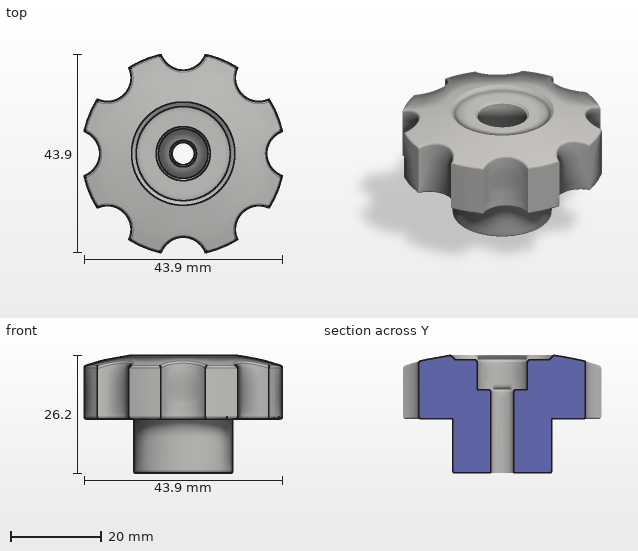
import cadquery as cq
import math

HUB_DIAMETER = 22.0
HUB_HEIGHT = 12.0
HEAD_DIAMETER = 45.0
DOME_APEX_HEIGHT = 27.0
DOME_RADIUS = 80.0

SCALLOP_COUNT = 8
SCALLOP_RADIUS = 5.25
SCALLOP_DEPTH = 4.0

RECESS_RIM_DIAMETER = 22.9
RECESS_FLOOR_DIAMETER = 20.85
RECESS_DEPTH = 1.0

BORE_DIAMETER = 11.0
BORE_DEPTH = 6.6
HOLE_DIAMETER = 4.92
BORE_CHAMFER = 0.5

HEAD_EDGE_RADIUS = 0.5
HUB_EDGE_RADIUS = 0.5

head_radius = HEAD_DIAMETER / 2
dome_center_height = DOME_APEX_HEIGHT - DOME_RADIUS
scallop_center_radius = head_radius - SCALLOP_DEPTH + SCALLOP_RADIUS


def dome_height(radius):
    """Height of the spherical dome at a distance from the axis."""
    return dome_center_height + math.sqrt(DOME_RADIUS**2 - radius**2)


recess_rim_height = dome_height(RECESS_RIM_DIAMETER / 2)
recess_floor_height = recess_rim_height - RECESS_DEPTH
bore_floor_height = recess_floor_height - BORE_DEPTH


def make_head():
    """Domed disc with finger scallops and rounded outer edges."""
    disc = (
        cq.Workplane("XZ")
        .moveTo(0, HUB_HEIGHT)
        .lineTo(head_radius, HUB_HEIGHT)
        .lineTo(head_radius, dome_height(head_radius))
        .threePointArc(
            (head_radius / 2, dome_height(head_radius / 2)),
            (0, DOME_APEX_HEIGHT),
        )
        .close()
        .revolve(360, (0, 0, 0), (0, 1, 0))
    )
    scallops = (
        cq.Workplane("XY", origin=(0, 0, HUB_HEIGHT))
        .polarArray(scallop_center_radius, 0, 360, SCALLOP_COUNT)
        .circle(SCALLOP_RADIUS)
        .extrude(DOME_APEX_HEIGHT - HUB_HEIGHT)
    )
    head = disc.cut(scallops)
    return head.faces("%CYLINDER").edges("not |Z").fillet(HEAD_EDGE_RADIUS)


def make_hub():
    """Cylindrical hub below the head, rounded at its lower edge."""
    hub = cq.Workplane("XY").circle(HUB_DIAMETER / 2).extrude(HUB_HEIGHT)
    return hub.faces("<Z").edges().fillet(HUB_EDGE_RADIUS)


def make_recess():
    """Flared recess that opens at the top of the dome."""
    flare = (RECESS_RIM_DIAMETER - RECESS_FLOOR_DIAMETER) / 2 / RECESS_DEPTH
    top_radius = RECESS_FLOOR_DIAMETER / 2 + flare * (DOME_APEX_HEIGHT - recess_floor_height)
    return (
        cq.Workplane("XZ")
        .moveTo(0, recess_floor_height)
        .lineTo(RECESS_FLOOR_DIAMETER / 2, recess_floor_height)
        .lineTo(top_radius, DOME_APEX_HEIGHT)
        .lineTo(0, DOME_APEX_HEIGHT)
        .close()
        .revolve(360, (0, 0, 0), (0, 1, 0))
    )


def make_chamfered_hole(diameter, bottom_height, top_height):
    """Cutter for a vertical round hole with a 45 degree chamfer at its top."""
    radius = diameter / 2
    return (
        cq.Workplane("XZ")
        .moveTo(0, bottom_height)
        .lineTo(radius, bottom_height)
        .lineTo(radius, top_height - BORE_CHAMFER)
        .lineTo(radius + BORE_CHAMFER, top_height)
        .lineTo(0, top_height)
        .close()
        .revolve(360, (0, 0, 0), (0, 1, 0))
    )


result = (
    make_head()
    .union(make_hub())
    .cut(make_recess())
    .cut(make_chamfered_hole(BORE_DIAMETER, bore_floor_height, recess_floor_height))
    .cut(make_chamfered_hole(HOLE_DIAMETER, 0, bore_floor_height))
)